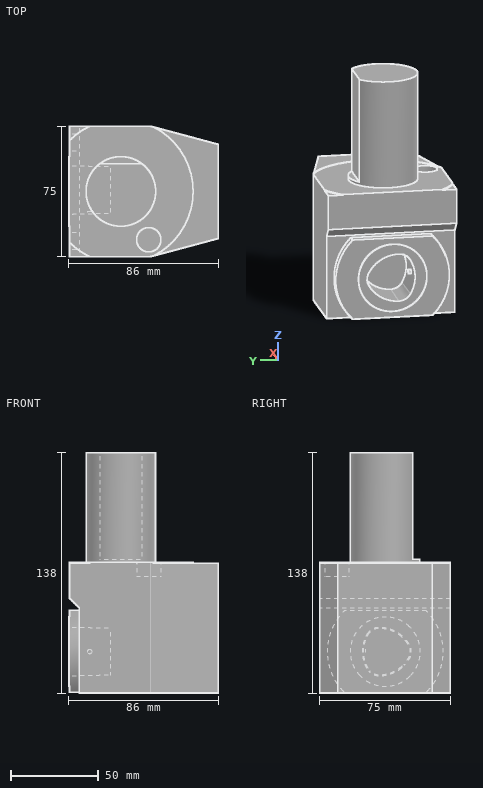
import cadquery as cq
import math


block_width = 75.0
block_height = 74.6
block_front_x = -29.5
block_rear_x = 56.0
taper_start_x = 17.0
taper_angle = 15.0
relief_depth = 5.5
relief_corner_z = 54.5

seat_radius = 41.5
seat_top_z = 75.0

shank_diameter = 40.0
shank_top_z = 138.0
shank_flat_y = 16.0
shank_full_round_length = 2.0
shank_flat_start_z = seat_top_z + shank_full_round_length

pin_hole_diameter = 14.0
pin_hole_depth = 8.0
pin_hole_pitch_radius = 32.0
pin_hole_angle = -60.0

socket_z = 24.0
flange_diameter = 66.4
flange_height = 47.2
ring_diameter = 40.0
ring_face_x = -30.0

socket_width = 28.0
lobe_radius = 8.0
socket_taper_angle = 1.43
socket_depth = 24.0
lobe_spacing_angle = 120
lobe_half_span = lobe_spacing_angle / 4

locating_pin_diameter = 2.5
locating_pin_tip_y = -11.4
locating_pin_length = 3.0
locating_pin_x = ring_face_x + socket_depth / 2

relief_x = block_front_x + relief_depth


def polar(radius, degrees):
    angle = math.radians(degrees)
    return (radius * math.cos(angle), radius * math.sin(angle))


def offset(point, radius, degrees):
    dx, dy = polar(radius, degrees)
    return (point[0] + dx, point[1] + dy)


def socket_plane(x):
    """Plane facing +X on the socket axis: local x is +Y, local y is +Z."""
    return cq.Workplane("YZ", origin=(x, 0, socket_z))


def make_plan():
    """Plan outline: parallel sides that taper towards the rear."""
    half = block_width / 2
    rear_half = half - (block_rear_x - taper_start_x) * math.tan(math.radians(taper_angle))
    return cq.Workplane("XY").polyline([
        (block_front_x, -half),
        (taper_start_x, -half),
        (block_rear_x, -rear_half),
        (block_rear_x, rear_half),
        (taper_start_x, half),
        (block_front_x, half),
    ]).close()


def make_block():
    block = make_plan().extrude(block_height)
    seat = cq.Workplane("XY").circle(seat_radius).extrude(seat_top_z)
    block = block.union(make_plan().extrude(seat_top_z).intersect(seat))
    relief = (
        cq.Workplane("XZ")
        .polyline([
            (block_front_x, 0),
            (relief_x, 0),
            (relief_x, relief_corner_z - relief_depth),
            (block_front_x, relief_corner_z),
        ])
        .close()
        .extrude(block_width / 2, both=True)
    )
    return block.cut(relief)


def make_shank():
    shank = (
        cq.Workplane("XY", origin=(0, 0, seat_top_z))
        .circle(shank_diameter / 2)
        .extrude(shank_top_z - seat_top_z)
    )
    flat_depth = shank_diameter / 2 - shank_flat_y
    flat_cut = cq.Workplane("XY", origin=(0, shank_flat_y, shank_flat_start_z)).box(
        shank_diameter, flat_depth, shank_top_z - shank_flat_start_z, centered=(True, False, False)
    )
    return shank.cut(flat_cut)


def make_pin_hole():
    return (
        cq.Workplane("XY", origin=(0, 0, seat_top_z))
        .center(*polar(pin_hole_pitch_radius, pin_hole_angle))
        .circle(pin_hole_diameter / 2)
        .extrude(-pin_hole_depth)
    )


def make_flange():
    disc = socket_plane(block_front_x).circle(flange_diameter / 2).extrude(relief_depth)
    flats = socket_plane(block_front_x).rect(flange_diameter, flange_height).extrude(relief_depth)
    ring = socket_plane(ring_face_x).circle(ring_diameter / 2).extrude(relief_x - ring_face_x)
    return disc.intersect(flats).union(ring)


def make_socket():
    """Three lobe arcs joined by three tangent flank arcs, each centred on the opposite lobe."""
    flank_radius = socket_width - lobe_radius
    lobe_pitch_radius = (flank_radius - lobe_radius) / math.sqrt(3)
    outline = socket_plane(ring_face_x).moveTo(
        *offset(polar(lobe_pitch_radius, 0), lobe_radius, -lobe_half_span)
    )
    for lobe_angle in range(0, 360, lobe_spacing_angle):
        lobe_center = polar(lobe_pitch_radius, lobe_angle)
        next_lobe_center = polar(lobe_pitch_radius, lobe_angle + lobe_spacing_angle)
        opposite_lobe_center = polar(lobe_pitch_radius, lobe_angle + 2 * lobe_spacing_angle)
        outline = outline.threePointArc(
            offset(lobe_center, lobe_radius, lobe_angle),
            offset(lobe_center, lobe_radius, lobe_angle + lobe_half_span),
        )
        outline = outline.threePointArc(
            offset(opposite_lobe_center, flank_radius, lobe_angle + 2 * lobe_half_span),
            offset(next_lobe_center, lobe_radius, lobe_angle + 3 * lobe_half_span),
        )
    return outline.close().extrude(socket_depth, taper=socket_taper_angle)


def make_locating_pin():
    """Pin along Y whose root is buried in the socket wall."""
    return (
        cq.Workplane("XZ", origin=(locating_pin_x, locating_pin_tip_y, socket_z))
        .circle(locating_pin_diameter / 2)
        .extrude(locating_pin_length)
    )


result = (
    make_block()
    .union(make_shank())
    .union(make_flange())
    .cut(make_pin_hole())
    .cut(make_socket())
    .union(make_locating_pin())
)